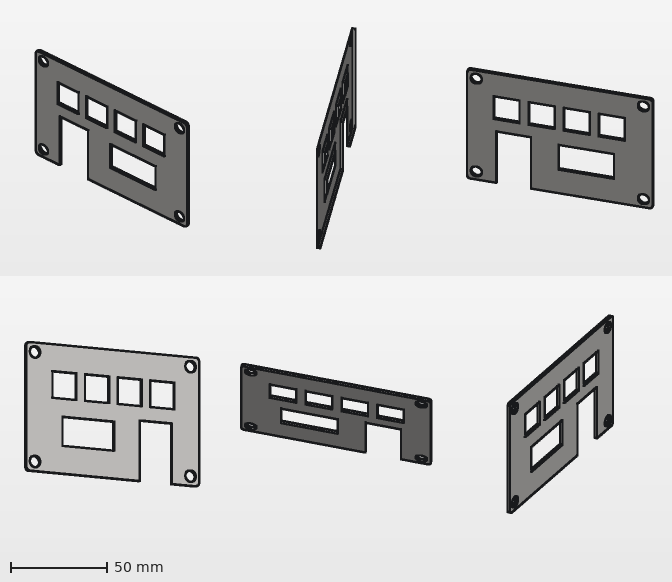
import cadquery as cq

width = 100.5
height = 67.8
thickness = 1.5
corner_radius = 2.0

hole_diameter = 6.0
hole_inset = 5.0

window_count = 4
window_size = 14.1
window_pitch = 19.0
window_row_x = -0.4
window_row_z = 12.7

display_width = 30.0
display_height = 15.4
display_x = 14.2
display_z = -11.6

notch_width = 18.8
notch_depth = 32.0
notch_x = -25.0


def cutter(size_x, size_z, x, z):
    """Box centred at (x, z) that passes through the plate."""
    return cq.Workplane("XY").box(size_x, 2 * thickness, size_z).translate((x, 0, z))


result = cq.Workplane("XY").box(width, thickness, height).edges("|Y").fillet(corner_radius)

result = (
    result.faces("<Y")
    .workplane(centerOption="CenterOfBoundBox")
    .rarray(width - 2 * hole_inset, height - 2 * hole_inset, 2, 2)
    .hole(hole_diameter)
)

for index in range(window_count):
    window_x = window_row_x + (index - (window_count - 1) / 2) * window_pitch
    result = result.cut(cutter(window_size, window_size, window_x, window_row_z))

result = result.cut(cutter(display_width, display_height, display_x, display_z))

result = result.cut(cutter(notch_width, 2 * notch_depth, notch_x, -height / 2))